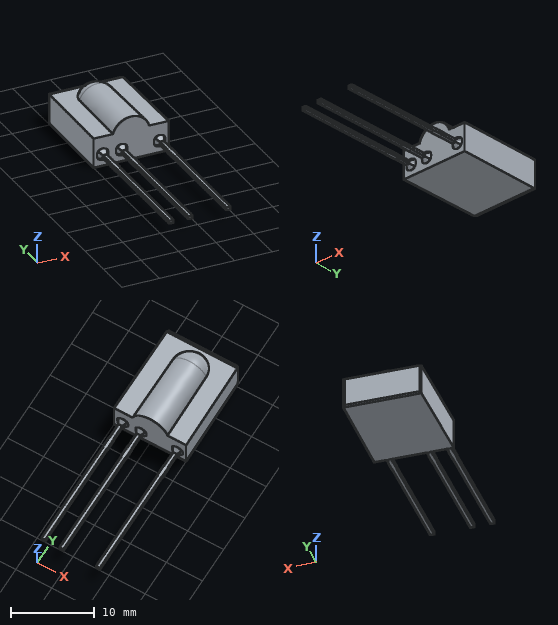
import cadquery as cq

front_width = 10.0
rear_width = 9.83
block_length = 12.5
block_height = 4.0
rear_bevel_length = 0.3
rear_bevel_inset = 0.12

total_height = 5.8
lens_front_radius = 2.53
lens_rear_radius = 2.43
lens_barrel_length = 9.27
lens_axis_height = total_height - lens_front_radius

total_length = 31.2
lead_reach = total_length - block_length
lead_pitch = 2.53
lead_positions = (-1.5, -0.5, 1.5)
lead_axis_height = 1.6
lead_width = 0.53
lead_thickness = 0.4
wide_width = 0.62
wide_start = 2.62
wide_end = 4.12
flare_radius = 0.78
flare_length = 0.55


def make_block():
    """Drafted block with a shallow bevel around its rear face."""
    outline = [
        (-front_width / 2, 0),
        (front_width / 2, 0),
        (rear_width / 2, block_length),
        (-rear_width / 2, block_length),
    ]
    block = cq.Workplane("XY").polyline(outline).close().extrude(block_height)
    return block.faces(">Y").edges().chamfer(rear_bevel_inset, rear_bevel_length)


def make_lens():
    """Full tapered barrel and spherical end, revolved about the lens axis."""
    return (
        cq.Workplane("XY", origin=(0, 0, lens_axis_height))
        .lineTo(lens_front_radius, 0)
        .lineTo(lens_rear_radius, lens_barrel_length)
        .radiusArc((0, lens_barrel_length + lens_rear_radius), -lens_rear_radius)
        .close()
        .revolve(360, (0, 0, 0), (0, 1, 0))
    )


def make_housing():
    return make_block().union(make_lens())


def make_lead(x):
    """One lead running from the housing front towards -Y."""
    section = cq.Workplane("XZ", origin=(x, 0, lead_axis_height))
    flare = (
        section.circle(flare_radius)
        .workplane(offset=flare_length)
        .rect(lead_width, lead_thickness)
        .loft()
    )
    wire = (
        section.workplane(offset=flare_length)
        .rect(lead_width, lead_thickness)
        .extrude(lead_reach - flare_length)
    )
    wide_stretch = (
        section.workplane(offset=wide_start)
        .rect(wide_width, lead_thickness)
        .extrude(wide_end - wide_start)
    )
    return flare.union(wire).union(wide_stretch)


housing = make_housing()
leads = [make_lead(position * lead_pitch) for position in lead_positions]

result = cq.Compound.makeCompound([housing.val(), *[lead.val() for lead in leads]])